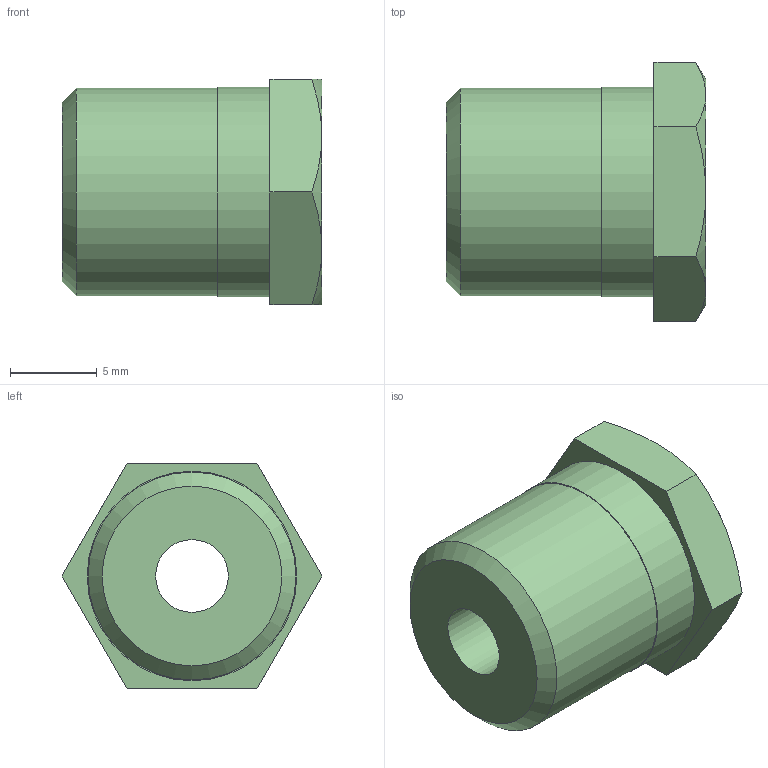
import cadquery as cq
import math

total_length = 15.0
head_length = 3.0
collar_length = 3.0
barrel_length = total_length - head_length - collar_length

barrel_diameter = 12.0
collar_diameter = 12.1
bore_diameter = 4.2
across_flats = 13.0
across_corners = across_flats / math.cos(math.radians(30))

tip_chamfer = 0.81
head_chamfer_angle = 30.0

collar_start = barrel_length
head_start = collar_start + collar_length


def cylinder_along_x(start, length, diameter):
    """Solid cylinder on the X axis, beginning at X = start."""
    return cq.Workplane("YZ", origin=(start, 0, 0)).circle(diameter / 2).extrude(length)


def make_barrel():
    """Plain barrel with a chamfered tip."""
    barrel = cylinder_along_x(0, barrel_length, barrel_diameter)
    return barrel.faces("<X").edges().chamfer(tip_chamfer)


def make_head():
    """Hexagon with corners on the Y axis, its outer end turned to a cone."""
    hexagon = (
        cq.Workplane("YZ", origin=(head_start, 0, 0))
        .polygon(6, across_corners)
        .extrude(head_length)
    )
    end_radius = across_flats / 2
    envelope_radius = end_radius + head_length
    cone_depth = (envelope_radius - end_radius) * math.tan(math.radians(head_chamfer_angle))
    envelope = (
        cq.Workplane("XY")
        .moveTo(head_start, 0)
        .lineTo(total_length, 0)
        .lineTo(total_length, end_radius)
        .lineTo(total_length - cone_depth, envelope_radius)
        .lineTo(head_start, envelope_radius)
        .close()
        .revolve(360, (0, 0, 0), (1, 0, 0))
    )
    return hexagon.intersect(envelope)


def make_bore():
    """Through hole along the axis."""
    return cylinder_along_x(0, total_length, bore_diameter)


collar = cylinder_along_x(collar_start, collar_length, collar_diameter)
result = make_barrel().union(collar).union(make_head()).cut(make_bore())